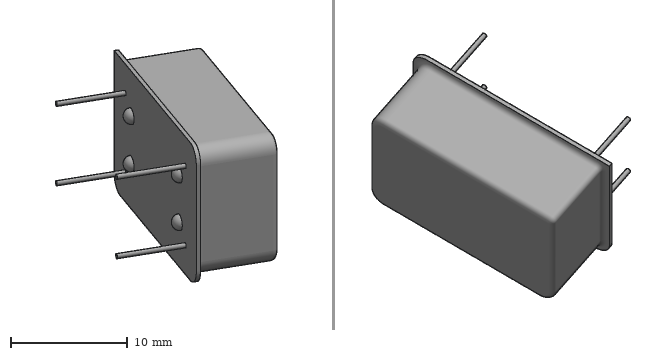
import cadquery as cq

plate_length = 20.8
plate_width = 13.2
plate_thickness = 0.4
corner_radius = 1.5

can_end_inset = 0.69
can_side_inset = 0.52
can_top_y = 7.8
can_length = plate_length - 2 * can_end_inset
can_width = plate_width - 2 * can_side_inset
can_key_corner_radius = 0.5
can_top_radius = 0.5
can_foot_radius = 0.5

pin_diameter = 0.45
pin_length = 6.3
pin_pitch_x = 15.25
pin_pitch_z = 7.61
bead_radius = 0.75
bead_height = 0.69
bead_offset = 1.52
bead_pitch_x = pin_pitch_x - 2 * bead_offset
bead_pitch_z = pin_pitch_z - 2 * bead_offset


def plane_at(y):
    """Sketch plane facing +Y; its local X runs along global X, its local Y along -Z."""
    return cq.Workplane(cq.Plane(origin=(0, y, 0), xDir=(1, 0, 0), normal=(0, 1, 0)))


def keyed_block(length, width, bottom_y, top_y):
    """Block with three rounded corners; the key corner at -X, +Z is left sharp."""
    block = plane_at(bottom_y).rect(length, width).extrude(top_y - bottom_y)
    return block.edges("|Y and (>X or <Z)").fillet(corner_radius)


def grid(y, pitch_x, pitch_z):
    """Two by two pattern of points centred on the plate."""
    return plane_at(y).rect(pitch_x, pitch_z, forConstruction=True).vertices()


plate = keyed_block(plate_length, plate_width, 0, plate_thickness)

can = keyed_block(can_length, can_width, plate_thickness, can_top_y)
can = can.edges("|Y and <X and >Z").fillet(can_key_corner_radius)
can = can.faces(">Y").edges().fillet(can_top_radius)

housing = plate.union(can)
selection_margin = 0.02
reach_x = can_length / 2 + selection_margin
reach_z = can_width / 2 + selection_margin
foot_edges = cq.selectors.BoxSelector(
    (-reach_x, plate_thickness - selection_margin, -reach_z),
    (reach_x, plate_thickness + selection_margin, reach_z),
    boundingbox=True,
)
housing = housing.edges(foot_edges).fillet(can_foot_radius)

pins = grid(0, pin_pitch_x, pin_pitch_z).circle(pin_diameter / 2).extrude(-pin_length)

bead_center_y = bead_radius - bead_height
beads = grid(bead_center_y, bead_pitch_x, bead_pitch_z).sphere(bead_radius)

result = housing.union(pins).union(beads)